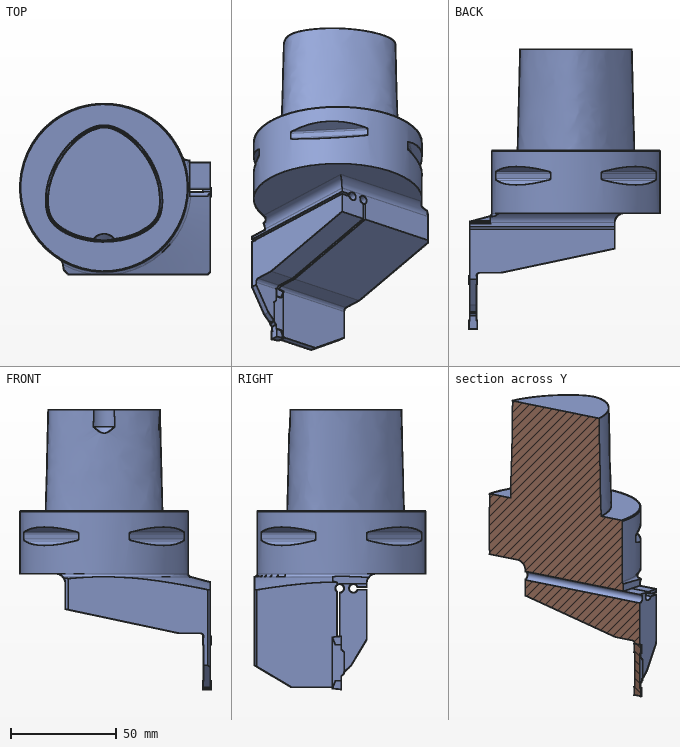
import cadquery as cq
import math


shank_length = 48.0
shank_base_radius = 27.8
shank_lobe_height = 2.0
shank_taper = 1 / 40
shank_outline_points = 48
shank_top_radius = shank_base_radius - shank_taper * shank_length

notch_radius = 6.2
notch_axis_y = -28.1
notch_depth = 8.2

flange_radius = 40.0
flange_height = 30.0
flange_chamfer = 0.4
groove_count = 4
groove_z = -12.15
groove_floor_distance = 35.5
groove_floor_height = 3.6
groove_floor_fillet = 0.9
groove_flank_angle = 30.0

head_left = -18.5
head_right = 50.45
head_front = -41.3
head_back = 12.1
flare_radius = 4.3
left_corner_chamfer = 1.6
right_corner_chamfer = 1.2
head_left_bottom = -46.8
head_bottom = -58.3
underside_angle = 12.0

crown_radius = 41.3
crown_z = -31.4
crown_angle = 15.0
crown_reach = 80.0

blade_thickness = 3.25
blade_left = head_right - blade_thickness
blade_root_fillet = 1.5
blade_bottom = -83.9
blade_front_corner_z = -73.5
blade_front_bottom_y = -23.8
jaw_corner_z = -61.2
jaw_bend = (4.8, -73.4)
jaw_tip_z = -76.8

insert_center_x = (blade_left + head_right) / 2
insert_center_z = -72.3
insert_edge_width = 4.1
insert_back_y = -4.4
insert_half_length = 12.7
insert_end_relief = 0.5
bulge_height = 1.25
bulge_foot_half = 6.35
bulge_top_half = 5.05
tip_inner_half = 8.5
tip_neck_y = -2.8

slit_hole_radius = 2.0
slit_hole_z = -36.9
side_slit_hole_y = 5.7
side_slit_width = 1.2
jaw_slit_hole_y = -0.8
jaw_slit_width = 1.2
jaw_slit_y = -1.4

ledge_left = 40.6
ledge_z = -34.8
step_width = 4.0
step_height = 1.2
ledge_clearance = 10.0


def box(x_range, y_range, z_range):
    """Box between pairs of limits."""
    limits = (x_range, y_range, z_range)
    lengths = [high - low for low, high in limits]
    corner = [low for low, high in limits]
    return cq.Workplane("XY").box(*lengths, centered=False).translate(tuple(corner))


def extrude_x(sketch, x_start, x_end):
    """Extrude a closed sketch of the YZ plane between two X positions."""
    return sketch.extrude(x_end - x_start).translate((x_start, 0, 0))


def shank_outline(plane, mean_radius):
    """Smooth rounded triangle whose width is the same in every direction."""
    points = []
    for index in range(shank_outline_points):
        angle = 2 * math.pi * index / shank_outline_points
        lobe_angle = 3 * (angle - math.pi / 2)
        support = mean_radius + shank_lobe_height * math.cos(lobe_angle)
        slope = -3 * shank_lobe_height * math.sin(lobe_angle)
        x = support * math.cos(angle) - slope * math.sin(angle)
        y = support * math.sin(angle) + slope * math.cos(angle)
        points.append((x, y))
    return plane.spline(points, periodic=True)


def make_shank():
    base = shank_outline(cq.Workplane("XY"), shank_base_radius)
    shank = shank_outline(base.close().workplane(offset=shank_length), shank_top_radius)
    shank = shank.close().loft(ruled=True)
    notch_rim = shank_length - notch_depth
    notch = (
        cq.Workplane("XZ")
        .moveTo(0, shank_length)
        .lineTo(notch_radius, shank_length)
        .lineTo(notch_radius, notch_rim)
        .lineTo(0, notch_rim - notch_radius)
        .close()
        .revolve(360, (0, 0), (0, 1))
        .translate((0, notch_axis_y, 0))
    )
    return shank.cut(notch)


def make_flange():
    flange = (
        cq.Workplane("XY")
        .circle(flange_radius)
        .extrude(-flange_height)
        .faces(">Z")
        .edges()
        .chamfer(flange_chamfer)
    )
    depth = flange_radius - groove_floor_distance
    floor_half = groove_floor_height / 2
    mouth_half = floor_half + depth * math.tan(math.radians(groove_flank_angle))
    groove = (
        cq.Workplane("XZ")
        .moveTo(groove_floor_distance, groove_z - floor_half)
        .lineTo(groove_floor_distance, groove_z + floor_half)
        .lineTo(flange_radius, groove_z + mouth_half)
        .lineTo(flange_radius, groove_z - mouth_half)
        .close()
        .extrude(flange_radius, both=True)
        .faces("<X")
        .edges("|Y")
        .fillet(groove_floor_fillet)
    )
    for index in range(groove_count):
        angle = (index + 0.5) * 360 / groove_count
        flange = flange.cut(groove.rotate((0, 0, 0), (0, 0, 1), angle))
    return flange


def flare_middle(wall, outward):
    """Middle point of the concave blend from a wall up to the flange face."""
    inset = flare_radius * (1 - math.sqrt(0.5))
    return (wall + outward * inset, -flange_height - inset)


def head_from_front():
    """Head and blade outline in XZ, extruded over the whole depth."""
    drop = head_left_bottom - head_bottom
    underside_end = head_left + drop / math.tan(math.radians(underside_angle))
    root_inset = blade_root_fillet * (1 - math.sqrt(0.5))
    return (
        cq.Workplane("XZ")
        .moveTo(head_left - flare_radius, -flange_height)
        .threePointArc(flare_middle(head_left, -1), (head_left, -flange_height - flare_radius))
        .lineTo(head_left, head_left_bottom)
        .lineTo(underside_end, head_bottom)
        .lineTo(blade_left - blade_root_fillet, head_bottom)
        .threePointArc(
            (blade_left - root_inset, head_bottom - root_inset),
            (blade_left, head_bottom - blade_root_fillet),
        )
        .lineTo(blade_left, blade_bottom)
        .lineTo(head_right, blade_bottom)
        .lineTo(head_right, -flange_height)
        .close()
        .extrude(crown_reach, both=True)
    )


def head_from_side():
    """Head and blade outline in YZ, extruded over the whole width."""
    return (
        cq.Workplane("YZ")
        .moveTo(head_back + flare_radius, -flange_height)
        .threePointArc(flare_middle(head_back, 1), (head_back, -flange_height - flare_radius))
        .lineTo(head_back, jaw_corner_z)
        .lineTo(*jaw_bend)
        .lineTo(bulge_height, jaw_tip_z)
        .lineTo(0, jaw_tip_z)
        .lineTo(insert_back_y, blade_bottom)
        .lineTo(blade_front_bottom_y, blade_bottom)
        .lineTo(head_front, blade_front_corner_z)
        .lineTo(head_front, -flange_height)
        .close()
        .extrude(crown_reach, both=True)
    )


def head_from_above():
    """Head outline in XY with chamfered front corners; left and back leave room for the flare."""
    flare_left = head_left - flare_radius
    return (
        cq.Workplane("XY")
        .moveTo(head_left + left_corner_chamfer, head_front)
        .lineTo(head_right - right_corner_chamfer, head_front)
        .lineTo(head_right, head_front + right_corner_chamfer)
        .lineTo(head_right, head_back + flare_radius)
        .lineTo(flare_left, head_back + flare_radius)
        .lineTo(flare_left, head_front + left_corner_chamfer + flare_radius)
        .close()
        .extrude(blade_bottom)
    )


def crown_envelope():
    """Revolved space below the flange face and the conical crown."""
    crown_drop = (crown_reach - crown_radius) * math.tan(math.radians(crown_angle))
    arc_middle_radius = flange_radius + (crown_radius - flange_radius) * (1 - math.sqrt(0.5))
    arc_middle_z = -flange_height + (crown_z + flange_height) * math.sqrt(0.5)
    return (
        cq.Workplane("XZ")
        .moveTo(0, -flange_height)
        .lineTo(flange_radius, -flange_height)
        .threePointArc((arc_middle_radius, arc_middle_z), (crown_radius, crown_z))
        .lineTo(crown_reach, crown_z - crown_drop)
        .lineTo(crown_reach, blade_bottom)
        .lineTo(0, blade_bottom)
        .close()
        .revolve(360, (0, 0), (0, 1))
    )


def insert_outline():
    """Side outline of the insert in YZ."""
    back_half = insert_half_length - insert_end_relief
    points = [
        (insert_back_y, -back_half),
        (0, -insert_half_length),
        (0, -bulge_foot_half),
        (bulge_height, -bulge_top_half),
        (bulge_height, bulge_top_half),
        (0, bulge_foot_half),
        (0, insert_half_length),
        (insert_back_y, back_half),
    ]
    return cq.Workplane("YZ").polyline([(y, insert_center_z + z) for y, z in points]).close()


def insert_tip_outline(end):
    """Side outline of one wide cutting tip; end is +1 for the upper and -1 for the lower tip."""
    back_half = insert_half_length - insert_end_relief
    points = [
        (0, insert_half_length),
        (insert_back_y, back_half),
        (tip_neck_y, tip_inner_half),
        (0, tip_inner_half),
    ]
    return cq.Workplane("YZ").polyline([(y, insert_center_z + end * z) for y, z in points]).close()


def make_ledge_cut():
    """Space removed above the jaw, rising over an S-shaped step towards -Y."""
    top = ledge_z + ledge_clearance
    back = head_back + ledge_clearance
    half_width = step_width / 2
    half_height = step_height / 2
    step = (
        cq.Workplane("YZ")
        .moveTo(back, top)
        .lineTo(back, ledge_z)
        .lineTo(0, ledge_z)
        .tangentArcPoint((-half_width, half_height))
        .tangentArcPoint((-half_width, half_height))
        .lineTo(-step_width, top)
        .close()
    )
    return extrude_x(step, ledge_left, head_right)


def make_slits():
    holes = (
        cq.Workplane("YZ")
        .pushPoints([(side_slit_hole_y, slit_hole_z), (jaw_slit_hole_y, slit_hole_z)])
        .circle(slit_hole_radius)
    )
    slits = extrude_x(holes, head_left, head_right)
    side_slit = box(
        (head_left, head_right),
        (side_slit_hole_y, head_back),
        (slit_hole_z - side_slit_width / 2, slit_hole_z + side_slit_width / 2),
    )
    jaw_slit_sides = (jaw_slit_y - jaw_slit_width / 2, jaw_slit_y + jaw_slit_width / 2)
    jaw_slit = box((head_left, head_right), jaw_slit_sides, (insert_center_z, slit_hole_z))
    ledge_slit = box((ledge_left, head_right), jaw_slit_sides, (slit_hole_z, ledge_z + step_height))
    return slits.union(side_slit).union(jaw_slit).union(ledge_slit)


def make_holder():
    head = head_from_front().intersect(head_from_side())
    head = head.intersect(head_from_above()).intersect(crown_envelope())
    head = head.cut(make_ledge_cut()).cut(make_slits())
    seat = extrude_x(insert_outline(), head_left, head_right)
    head = head.cut(seat)
    return make_flange().union(make_shank()).union(head)


def make_insert():
    insert = extrude_x(insert_outline(), blade_left, head_right)
    tip_left = insert_center_x - insert_edge_width / 2
    for end in (1, -1):
        insert = insert.union(extrude_x(insert_tip_outline(end), tip_left, tip_left + insert_edge_width))
    return insert


holder = make_holder()
cutting_insert = make_insert()

result = cq.Compound.makeCompound([holder.solids().val(), cutting_insert.solids().val()])